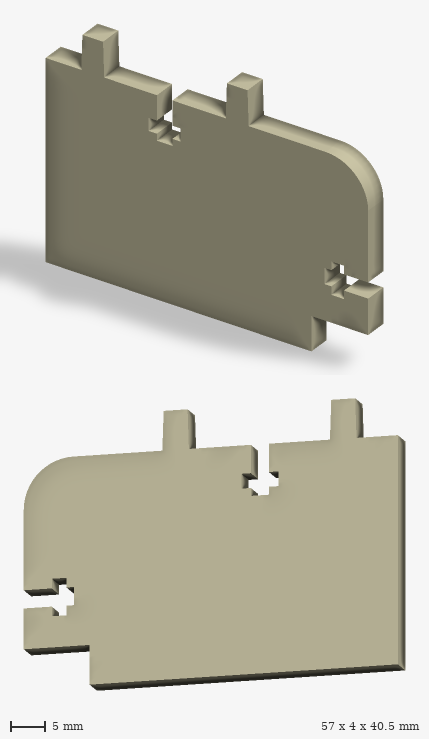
import cadquery as cq

length = 57.05
thickness = 4.0
overall_height = 40.55
tab_height = 6.0
plate_height = overall_height - tab_height
corner_radius = 7.5

step_height = tab_height
step_start = 47.0

tab_centers = (8.3, 33.9)
tab_base_width = 4.05
tab_tip_width = 3.65

slot_width = 2.75
slot_depth = 7.7
nut_width = 5.65
nut_thickness = 2.2
nut_offset = 4.3
top_slot_x = 21.05
side_slot_z = 13.5


def make_plate():
    """Rectangular plate, front face at Y = 0, with one rounded top corner."""
    plate = cq.Workplane("XY").box(length, thickness, plate_height, centered=False)
    return plate.edges("|Y and >X and >Z").fillet(corner_radius)


def make_step():
    """Block removed below the right end of the plate."""
    step = cq.Workplane("XY").box(length - step_start, thickness, step_height, centered=False)
    return step.translate((step_start, 0, 0))


def make_tab(center_x):
    """Tab that narrows from the top edge of the plate to its tip."""
    half_base = tab_base_width / 2
    half_tip = tab_tip_width / 2
    outline = [
        (center_x - half_base, plate_height),
        (center_x + half_base, plate_height),
        (center_x + half_tip, overall_height),
        (center_x - half_tip, overall_height),
    ]
    return cq.Workplane("XZ").polyline(outline).close().extrude(-thickness)


def make_t_slot():
    """Slot running down from a mouth at the origin, crossed by a nut pocket."""
    screw = cq.Workplane("XY").box(slot_width, thickness, slot_depth, centered=(True, False, False))
    nut = cq.Workplane("XY").box(nut_width, thickness, nut_thickness, centered=(True, False, False))
    screw = screw.translate((0, 0, -slot_depth))
    nut = nut.translate((0, 0, -nut_offset - nut_thickness))
    return screw.union(nut)


result = make_plate().cut(make_step())

for tab_center in tab_centers:
    result = result.union(make_tab(tab_center))

top_slot = make_t_slot().translate((top_slot_x, 0, plate_height))
side_slot = make_t_slot().rotate((0, 0, 0), (0, 1, 0), 90).translate((length, 0, side_slot_z))
result = result.cut(top_slot).cut(side_slot)